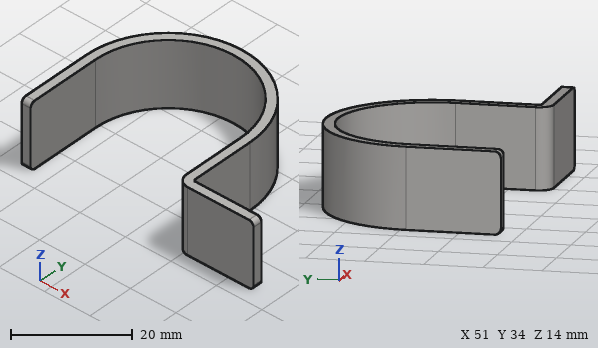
import cadquery as cq

total_length = 51.0
strip_width = 14.0
thickness = 2.0
outer_radius = 18.0
leg_length = 16.0
bend_inner_radius = 0.5
corner_radius = 1.0

inner_radius = outer_radius - thickness
bend_outer_radius = bend_inner_radius + thickness
foot_y = -leg_length
flange_top_y = foot_y + thickness
flange_tip_x = total_length - outer_radius
bend_x = inner_radius + bend_outer_radius
bend_y = foot_y + bend_outer_radius


def strip_profile():
    """Bent strip outline: free leg, saddle, second leg, bend and flange."""
    return (
        cq.Workplane("XY")
        .moveTo(-outer_radius, foot_y)
        .lineTo(-outer_radius, 0)
        .threePointArc((0, outer_radius), (outer_radius, 0))
        .lineTo(outer_radius, bend_y)
        .radiusArc((bend_x, flange_top_y), -bend_inner_radius)
        .lineTo(flange_tip_x, flange_top_y)
        .lineTo(flange_tip_x, foot_y)
        .lineTo(bend_x, foot_y)
        .radiusArc((inner_radius, bend_y), bend_outer_radius)
        .lineTo(inner_radius, 0)
        .threePointArc((0, inner_radius), (-inner_radius, 0))
        .lineTo(-inner_radius, foot_y)
        .close()
    )


strip = strip_profile().extrude(strip_width)

strip = strip.faces(">X").edges("|Y").fillet(corner_radius)
free_leg_end = cq.selectors.BoxSelector(
    (-outer_radius - thickness, foot_y - thickness, -thickness),
    (-inner_radius + thickness, foot_y + thickness, strip_width + thickness),
)
result = strip.edges(free_leg_end).edges("|X").fillet(corner_radius)